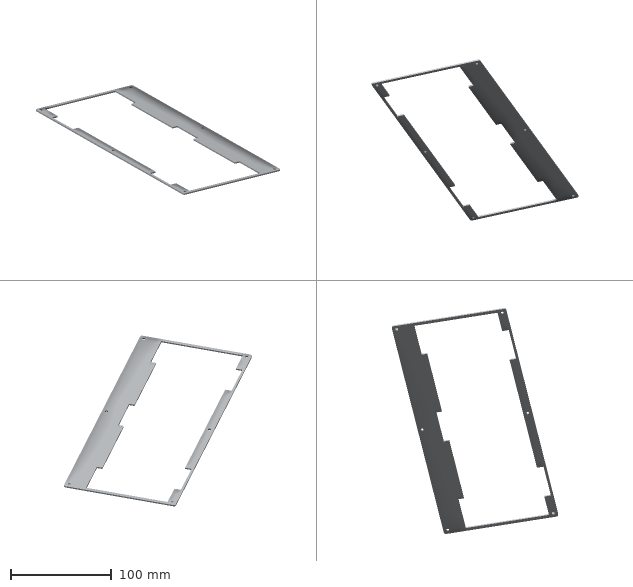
import cadquery as cq

length = 267.5
width = 116.1
thickness = 1.5
corner_radius = 2.1

side_border = 3.5
window_top = 35.5
window_bottom = -49.0

tab_length = 74.5
tab_depth = 5.5
tab_gap = 37.5

notch_length = 37.2
notch_floor = -55.7
notch_center_x = 88.0

hole_diameter = 3.0
hole_inset = 4.5


def box_between(x_min, x_max, y_min, y_max):
    """Block of plate thickness covering the given rectangle."""
    return (
        cq.Workplane("XY")
        .box(x_max - x_min, y_max - y_min, thickness, centered=False)
        .translate((x_min, y_min, 0))
    )


def make_opening():
    """Window with the tabs left standing and the notches added."""
    half_window = length / 2 - side_border
    opening = box_between(-half_window, half_window, window_bottom, window_top)
    tab_center_x = (tab_gap + tab_length) / 2
    for side in (-1, 1):
        tab_x = side * tab_center_x
        tab = box_between(
            tab_x - tab_length / 2, tab_x + tab_length / 2, window_top - tab_depth, window_top
        )
        notch_x = side * notch_center_x
        notch = box_between(
            notch_x - notch_length / 2, notch_x + notch_length / 2, notch_floor, window_bottom
        )
        opening = opening.cut(tab).union(notch)
    return opening


plate = (
    cq.Workplane("XY")
    .box(length, width, thickness, centered=(True, True, False))
    .edges("|Z")
    .fillet(corner_radius)
)

hole_x = length / 2 - hole_inset
hole_y = width / 2 - hole_inset
hole_points = [(x, y) for x in (-hole_x, 0, hole_x) for y in (-hole_y, hole_y)]

result = (
    plate.cut(make_opening())
    .faces(">Z")
    .workplane(origin=(0, 0, thickness))
    .pushPoints(hole_points)
    .hole(hole_diameter)
)